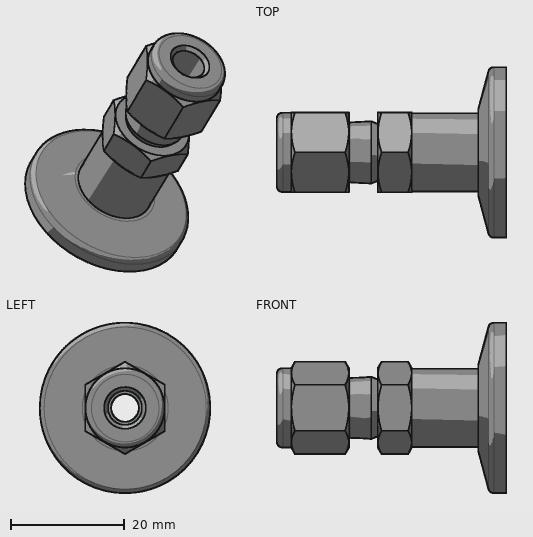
import cadquery as cq
import math

total_length = 40.4
bore_radius = 2.42

hex_across_flats = 14.05
hex_corner_radius = hex_across_flats / math.sqrt(3)
hex_chamfer_radius = 6.95
hex_chamfer_angle = 30.0

nose_radius = 7.0
nose_fillet = 1.05
nut_hex_start = 2.55
nut_end = 12.73
tube_hole_radius = 3.0
tube_hole_mouth_radius = 3.68
tube_hole_chamfer = tube_hole_mouth_radius - tube_hole_radius

neck_start = 6.45
neck_tip_radius = 5.3
neck_tip_end = 12.9
neck_radius = 5.5
neck_taper_start = 16.65
neck_end_radius = 5.0
body_hex_start = 17.78
body_hex_end = 23.8
stem_radius = 6.9

flange_start = 35.45
flange_diameter = 30.0
flange_radius = flange_diameter / 2
flange_inner_radius = 7.55
flange_cone_angle = 15.0
flange_edge_fillet = 1.0


def cylinder(start, end, radius):
    """Solid cylinder along X between two stations."""
    return cq.Workplane("YZ").workplane(offset=start).circle(radius).extrude(end - start)


def revolve_about_x(profile):
    """Turn a closed (x, radius) profile about the X axis."""
    return profile.close().revolve(360, (0, 0, 0), (1, 0, 0))


def chamfered_hex(start, end):
    """Hexagonal prism with corners up and down, chamfered conically at both ends."""
    prism = (
        cq.Workplane("YZ").workplane(offset=start)
        .polygon(6, 2 * hex_corner_radius).extrude(end - start)
        .rotate((0, 0, 0), (1, 0, 0), 90)
    )
    chamfer_length = (hex_corner_radius - hex_chamfer_radius) * math.tan(math.radians(hex_chamfer_angle))
    envelope = revolve_about_x(
        cq.Workplane("XY").moveTo(start, 0)
        .lineTo(start, hex_chamfer_radius)
        .lineTo(start + chamfer_length, hex_corner_radius)
        .lineTo(end - chamfer_length, hex_corner_radius)
        .lineTo(end, hex_chamfer_radius)
        .lineTo(end, 0)
    )
    return prism.intersect(envelope)


def make_nut():
    """Hexagonal nut with a rounded nose, a tube hole and a recess for the neck."""
    nose = cylinder(0, nut_hex_start, nose_radius).faces("<X").edges().fillet(nose_fillet)
    nut = nose.union(chamfered_hex(nut_hex_start, nut_end))
    tube_hole = cylinder(0, nut_end, tube_hole_radius).union(
        revolve_about_x(
            cq.Workplane("XY").moveTo(0, 0)
            .lineTo(0, tube_hole_mouth_radius)
            .lineTo(tube_hole_chamfer, tube_hole_radius)
            .lineTo(tube_hole_chamfer, 0)
        )
    )
    neck_recess = cylinder(neck_start, nut_end, neck_tip_radius)
    return nut.cut(tube_hole).cut(neck_recess)


def make_neck():
    """Neck with a straight tip in the nut, then slightly flared and tapered to the hexagon."""
    return revolve_about_x(
        cq.Workplane("XY").moveTo(neck_start, 0)
        .lineTo(neck_start, neck_tip_radius)
        .lineTo(neck_tip_end, neck_tip_radius)
        .lineTo(neck_taper_start, neck_radius)
        .lineTo(body_hex_start, neck_end_radius)
        .lineTo(body_hex_start, 0)
    )


def make_flange():
    """Flange disc with a conical front and a rounded outer edge."""
    cone_length = (flange_radius - flange_inner_radius) * math.tan(math.radians(flange_cone_angle))
    rim_start = flange_start + cone_length
    flange = revolve_about_x(
        cq.Workplane("XY").moveTo(flange_start, 0)
        .lineTo(flange_start, flange_inner_radius)
        .lineTo(rim_start, flange_radius)
        .lineTo(total_length, flange_radius)
        .lineTo(total_length, 0)
    )
    rim_edge = cq.selectors.NearestToPointSelector((rim_start, 0, 0))
    return flange.edges(rim_edge).fillet(flange_edge_fillet)


def make_body():
    """Neck, hexagon, stem and flange in one piece with a through bore."""
    body = (
        make_neck()
        .union(chamfered_hex(body_hex_start, body_hex_end))
        .union(cylinder(body_hex_end, flange_start, stem_radius))
        .union(make_flange())
    )
    return body.cut(cylinder(neck_start, total_length, bore_radius))


nut = make_nut()
body = make_body()
result = cq.Compound.makeCompound([nut.val(), body.val()])